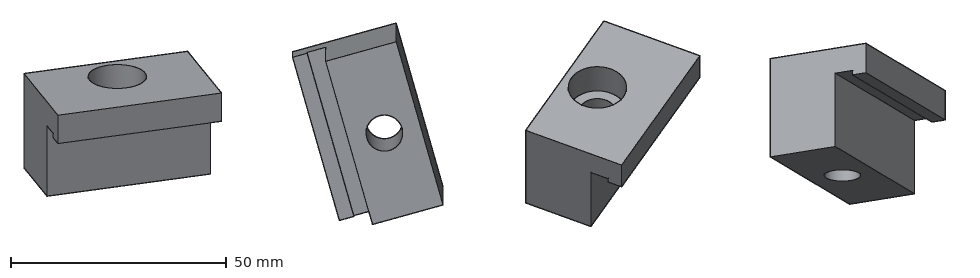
import cadquery as cq

width = 25.0
length = 40.0
height = 24.0

body_width = 17.0
flange_thickness = 6.1
lip_width = 3.5
lip_drop = 1.1

hole_diameter = 8.5
counterbore_diameter = 13.5
counterbore_depth = 8.0

flange_underside = height - flange_thickness
lip_underside = flange_underside - lip_drop
lip_start = width - lip_width

clamp = (
    cq.Workplane("XZ")
    .moveTo(0, 0)
    .lineTo(body_width, 0)
    .lineTo(body_width, flange_underside)
    .lineTo(lip_start, flange_underside)
    .lineTo(lip_start, lip_underside)
    .lineTo(width, lip_underside)
    .lineTo(width, height)
    .lineTo(0, height)
    .close()
    .extrude(-length)
)

result = (
    clamp.faces(">Z")
    .workplane(origin=(body_width / 2, length / 2, height))
    .cboreHole(hole_diameter, counterbore_diameter, counterbore_depth)
)